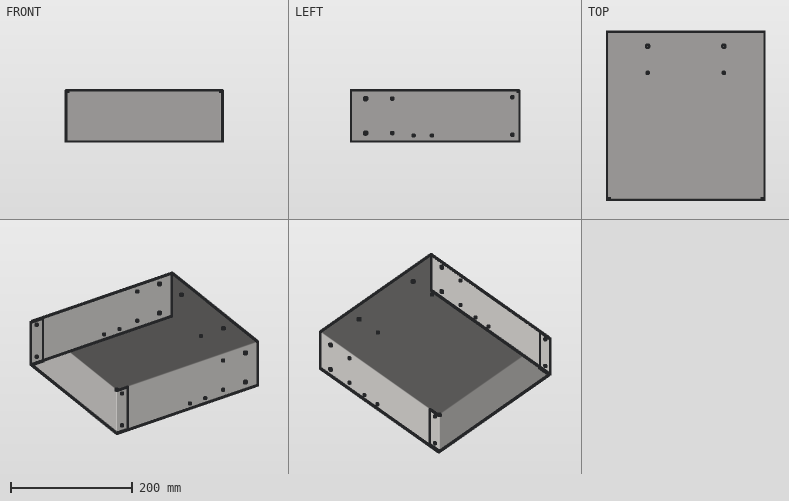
import cadquery as cq

width = 260.5
depth = 278.2
height = 85.0
thickness = 1.5
bend_radius = 3.0
inner_radius = bend_radius - thickness

flange_gap = 0.3
flange_length = 23.5
front_width = width - 2 * (thickness + flange_gap)
front_flat_width = front_width - 2 * bend_radius
fold_height = height - bend_radius

large_diameter = 5.0
medium_diameter = 3.3
small_diameter = 3.0
large_from_back = 24.2
medium_from_back = 68.2
small_from_back = (103.5, 133.5)
small_height = 10.0
top_hole_spacing = 125.7
side_hole_heights = (14.2, 71.0)
rivet_from_front = flange_length / 2
rivet_heights = (11.5, 73.5)


def top_and_sides():
    """Top sheet folded down into two side walls, relieved at the front corners."""
    outside = (
        cq.Workplane("XY").box(width, depth, height, centered=(True, False, False))
        .edges("|Y and >Z").fillet(bend_radius)
    )
    inside = (
        cq.Workplane("XY")
        .box(width - 2 * thickness, depth, height - thickness, centered=(True, False, False))
        .edges("|Y and >Z").fillet(inner_radius)
    )
    front_relief = (
        cq.Workplane("XY").workplane(offset=fold_height)
        .box(width, bend_radius, bend_radius, centered=(True, False, False))
    )
    return outside.cut(inside).cut(front_relief)


def front_panel():
    """Front wall with a flange folded back along each side wall."""
    outside = (
        cq.Workplane("XY").box(front_width, flange_length, fold_height, centered=(True, False, False))
        .edges("|Z and <Y").fillet(bend_radius)
    )
    inside = (
        cq.Workplane("XY").workplane(origin=(0, thickness, 0))
        .box(front_width - 2 * thickness, flange_length, fold_height, centered=(True, False, False))
        .edges("|Z and <Y").fillet(inner_radius)
    )
    return outside.cut(inside)


def front_top_fold():
    """Quarter-round fold joining the front wall to the top sheet."""
    corner = (
        cq.Workplane("XY").workplane(offset=fold_height)
        .box(front_flat_width, bend_radius, bend_radius, centered=(True, False, False))
    )
    fold_axis = cq.Workplane("YZ", origin=(-front_flat_width / 2, bend_radius, fold_height))
    ring = fold_axis.circle(bend_radius).circle(inner_radius).extrude(front_flat_width)
    return ring.intersect(corner)


def top_holes(diameter, from_back):
    """Cutters for a pair of holes through the top sheet."""
    centres = [(side * top_hole_spacing / 2, depth - from_back) for side in (-1, 1)]
    return (
        cq.Workplane("XY").workplane(offset=height / 2)
        .pushPoints(centres).circle(diameter / 2).extrude(height)
    )


def side_holes(diameter, centres):
    """Cutters through both side walls at (y, z) centres."""
    return cq.Workplane("YZ").pushPoints(centres).circle(diameter / 2).extrude(width, both=True)


result = top_and_sides().union(front_panel()).union(front_top_fold())

for diameter, from_back in ((large_diameter, large_from_back), (medium_diameter, medium_from_back)):
    result = result.cut(top_holes(diameter, from_back))
    side_centres = [(depth - from_back, z) for z in side_hole_heights]
    result = result.cut(side_holes(diameter, side_centres))

small_centres = [(depth - from_back, small_height) for from_back in small_from_back]
result = result.cut(side_holes(small_diameter, small_centres))

rivet_centres = [(rivet_from_front, z) for z in rivet_heights]
result = result.cut(side_holes(medium_diameter, rivet_centres))